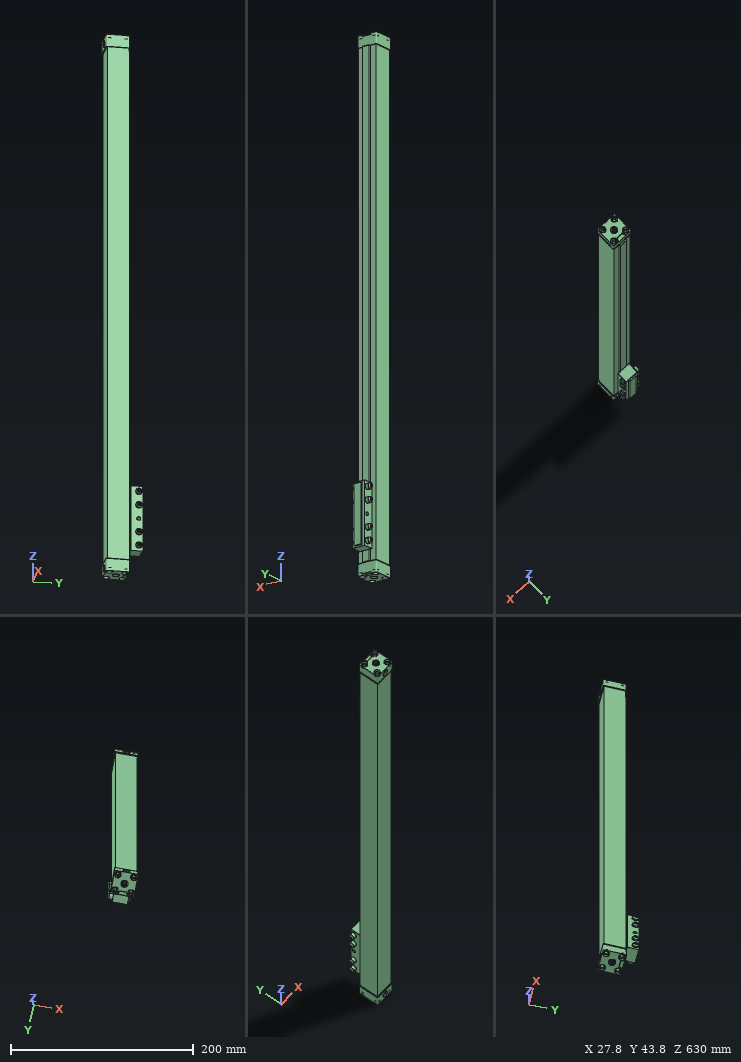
import cadquery as cq

total_length = 630.0
cap_length = 14.5
cap_width = 26.5
tube_width = 24.5
tube_back = 12.5
tube_front = -12.0
band_width = 9.5
band_back = 15.0

corner_radius = 1.0
port_diameter = 7.5
port_step_diameter = 5.0
port_inner_diameter = 2.45
port_recess = 2.0
port_step_depth = 5.0
port_depth = 7.5
port_inset = 7.0
screw_spacing = 17.5
screw_head_diameter = 7.0
screw_hole_diameter = 4.0
screw_head_depth = 4.0
screw_depth = 9.5
clamp_slot_front = 9.0
clamp_slot_front_width = 7.5
clamp_slot_back_width = 11.5
clamp_slot_depth = 2.0

carriage_width = 17.0
carriage_length = 76.0
carriage_middle = 65.5
carriage_back = 28.5
strip_width = 9.5
strip_height = 2.0
strip_end_gap = 2.0
cross_hole_diameter = 4.15
side_feature_y = 24.0
stud_pitch = 16.0
stud_diameter = 7.0
stud_tip_diameter = 4.2
stud_tip_length = 2.0
stud_socket_diameter = 2.45
stud_socket_depth = 2.0
stud_reach_left = 14.5
stud_reach_right = 12.0


def box(x_range, y_range, z_range):
    """A box that spans the given (low, high) range along each axis."""
    low, high = zip(x_range, y_range, z_range)
    sizes = [end - start for start, end in zip(low, high)]
    return cq.Workplane("XY").box(*sizes, centered=False).translate(low)


def centred(width):
    """The (low, high) range of a width centred on zero."""
    return (-width / 2, width / 2)


def blind_hole(plane, diameter, depth):
    """The material of a round hole that starts at the origin of the plane and runs along its normal."""
    return cq.Workplane(plane).circle(diameter / 2).extrude(depth)


def end_cap():
    """The lower cap, with its outer end at Z = 0."""
    cap = box(centred(cap_width), centred(cap_width), (0, cap_length))

    cap = cap.edges("|Z").fillet(corner_radius)

    front_plane = cq.Plane((0, -cap_width / 2, port_inset), (1, 0, 0), (0, 1, 0))
    end_plane = cq.Plane((0, 0, 0), (1, 0, 0), (0, 0, 1))
    for plane in (front_plane, end_plane):
        cap = cap.cut(blind_hole(plane, port_diameter, port_recess))
        cap = cap.cut(blind_hole(plane, port_step_diameter, port_step_depth))
        cap = cap.cut(blind_hole(plane, port_inner_diameter, port_depth))

    screws = cq.Workplane(end_plane).rect(screw_spacing, screw_spacing, forConstruction=True).vertices()
    cap = cap.cut(screws.circle(screw_head_diameter / 2).extrude(screw_head_depth))
    cap = cap.cut(screws.circle(screw_hole_diameter / 2).extrude(screw_depth))

    slot = (
        cq.Workplane("XY")
        .moveTo(-clamp_slot_front_width / 2, clamp_slot_front)
        .lineTo(clamp_slot_front_width / 2, clamp_slot_front)
        .lineTo(clamp_slot_back_width / 2, cap_width / 2)
        .lineTo(-clamp_slot_back_width / 2, cap_width / 2)
        .close()
        .extrude(clamp_slot_depth)
    )
    return cap.cut(slot)


def build_cylinder():
    """The tube, its sealing band and its two mirrored end caps as one solid."""
    tube_range = (cap_length, total_length - cap_length)
    tube = box(centred(tube_width), (tube_front, tube_back), tube_range)
    band = box(centred(band_width), (0, band_back), tube_range)
    lower_cap = end_cap()
    upper_cap = lower_cap.mirror("XY", (0, 0, total_length / 2))
    return tube.union(band).union(lower_cap).union(upper_cap)


def stud(z, direction, reach):
    """A stud that points along X in the given direction, with a tapered tip and a socket."""
    root_plane = cq.Plane((0, side_feature_y, z), (0, 1, 0), (direction, 0, 0))
    shank_reach = reach - stud_tip_length
    shank = cq.Workplane(root_plane).circle(stud_diameter / 2).extrude(shank_reach)
    tip = (
        cq.Workplane(root_plane)
        .workplane(offset=shank_reach)
        .circle(stud_diameter / 2)
        .workplane(offset=stud_tip_length)
        .circle(stud_tip_diameter / 2)
        .loft(ruled=True)
    )
    socket_plane = cq.Plane((direction * reach, side_feature_y, z), (0, 1, 0), (-direction, 0, 0))
    return shank.union(tip).cut(blind_hole(socket_plane, stud_socket_diameter, stud_socket_depth))


def build_carriage():
    """The carriage on the sealing band, with its back strip, side studs and cross hole."""
    bottom = carriage_middle - carriage_length / 2
    top = carriage_middle + carriage_length / 2
    carriage = box(centred(carriage_width), (band_back, carriage_back), (bottom, top))
    strip_range = (bottom + strip_end_gap, top - strip_end_gap)
    strip = box(centred(strip_width), (band_back, carriage_back + strip_height), strip_range)
    carriage = carriage.union(strip)

    for step in (-2, -1, 1, 2):
        z = carriage_middle + step * stud_pitch
        carriage = carriage.union(stud(z, -1, stud_reach_left))
        carriage = carriage.union(stud(z, 1, stud_reach_right))

    hole_plane = cq.Plane((-carriage_width / 2, side_feature_y, carriage_middle), (0, 1, 0), (1, 0, 0))
    return carriage.cut(blind_hole(hole_plane, cross_hole_diameter, carriage_width))


cylinder = build_cylinder()
carriage = build_carriage()
result = cq.Compound.makeCompound([cylinder.val(), carriage.val()])